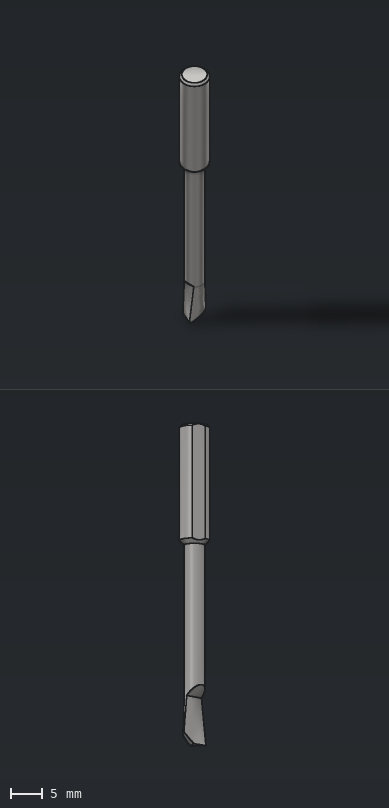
import cadquery as cq
import math

total_length = 50.8
shank_diameter = 4.8
flat_offset = 2.15
shank_bottom = 32.45
top_chamfer = 0.4

neck_diameter = 3.3
neck_radius = neck_diameter / 2
cone_bottom = shank_bottom - (shank_diameter / 2 - neck_radius)

head_top = 7.6
tip_radius = 1.95
root_edge_angle = 209
root_heel_angle = 286
root_back_angle = 25
tip_edge_angle = 182
tip_heel_angle = 265
tip_back_angle = 3

tip_edge_rise = 0.15
tip_edge_end = 0.1


def polar(radius, angle):
    """Point at an angle in degrees around the tool axis."""
    return radius * math.cos(math.radians(angle)), radius * math.sin(math.radians(angle))


def make_shank():
    radius = shank_diameter / 2
    bar = (
        cq.Workplane("XZ")
        .moveTo(0, cone_bottom)
        .lineTo(neck_radius, cone_bottom)
        .lineTo(radius, shank_bottom)
        .lineTo(radius, total_length - top_chamfer)
        .lineTo(radius - top_chamfer, total_length)
        .lineTo(0, total_length)
        .close()
        .revolve(360, (0, 0, 0), (0, 1, 0))
    )
    flat_waste = (
        cq.Workplane("XY")
        .box(shank_diameter, radius, total_length, centered=(True, False, False))
        .translate((0, flat_offset, 0))
    )
    return bar.cut(flat_waste)


def ramp_waste(start, end):
    """Material removed outside the line start-end, rising outward at 45 degrees."""
    direction = cq.Vector(end[0] - start[0], end[1] - start[1], 0).normalized()
    outward = direction.cross(cq.Vector(0, 0, 1))
    reach = 3 * neck_radius
    plane = cq.Plane(origin=(start[0], start[1], head_top), xDir=outward, normal=direction * -1)
    return (
        cq.Workplane(plane)
        .polyline([(0, 0), (reach, reach), (reach, 0)])
        .close()
        .extrude(reach, both=True)
    )


def make_neck():
    neck = cq.Workplane("XY").workplane(offset=head_top).circle(neck_radius).extrude(cone_bottom - head_top)
    edge = polar(neck_radius, root_edge_angle)
    heel = polar(neck_radius, root_heel_angle)
    back = polar(neck_radius, root_back_angle)
    return neck.cut(ramp_waste(edge, heel)).cut(ramp_waste(back, edge))


def head_section(radius, edge_angle, heel_angle, back_angle, height):
    """Two flats meeting at the cutting edge, closed by an arc on the far side."""
    middle_angle = (heel_angle + back_angle + 360) / 2
    edge = cq.Vector(*polar(radius, edge_angle), height)
    heel = cq.Vector(*polar(radius, heel_angle), height)
    middle = cq.Vector(*polar(radius, middle_angle), height)
    back = cq.Vector(*polar(radius, back_angle), height)
    return cq.Wire.assembleEdges([
        cq.Edge.makeLine(edge, heel),
        cq.Edge.makeThreePointArc(heel, middle, back),
        cq.Edge.makeLine(back, edge),
    ])


def make_head():
    tip = head_section(tip_radius, tip_edge_angle, tip_heel_angle, tip_back_angle, 0)
    root = head_section(neck_radius, root_edge_angle, root_heel_angle, root_back_angle, head_top)
    head = cq.Workplane(cq.Solid.makeLoft([tip, root], True))
    edge_x = polar(tip_radius, tip_edge_angle)[0]
    relief_run = 2 * tip_radius
    relief_end = tip_edge_end + relief_run
    end_waste = (
        cq.Workplane("XZ")
        .polyline([
            (edge_x, 0),
            (tip_edge_end, tip_edge_rise),
            (relief_end, tip_edge_rise + relief_run),
            (relief_end, -tip_edge_rise),
            (edge_x, -tip_edge_rise),
        ])
        .close()
        .extrude(2 * tip_radius, both=True)
    )
    return head.cut(end_waste)


result = make_shank().union(make_neck()).union(make_head())